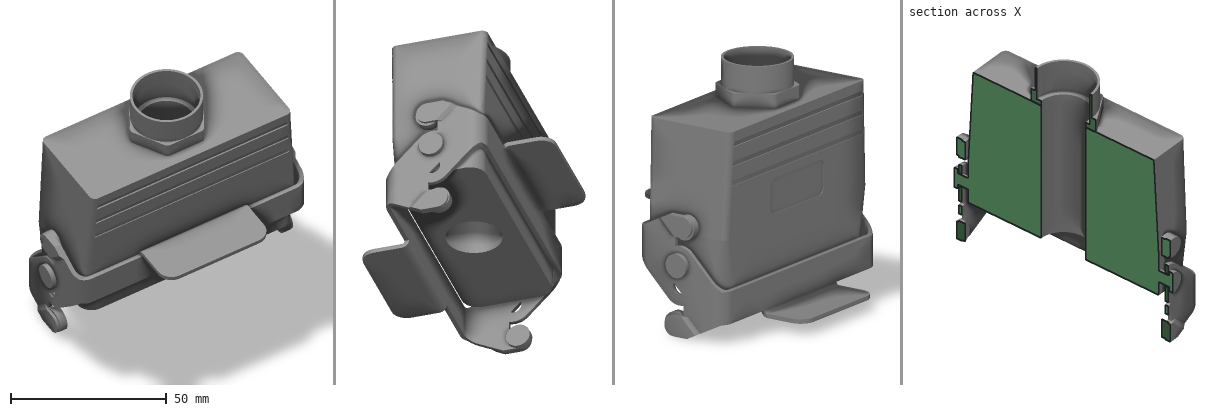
import cadquery as cq
import math

hood_height = 53.0
hood_top_half_width = 16.1
hood_bottom_half_width = 15.0
hood_top_half_length = 37.6
hood_bottom_half_length = 39.6
hood_skirt_height = 17.0
hood_corner_radius = 2.0
hood_skirt_corner_radius = 5.5
hood_width_draft = (hood_top_half_width - hood_bottom_half_width) / hood_height
hood_length_draft = (hood_bottom_half_length - hood_top_half_length) / (hood_height - hood_skirt_height)

groove_bottoms = (34.85, 41.3, 47.9)
groove_height = 1.6
groove_floor_x = 15.5

label_length = 29.85
label_height = 11.9
label_center_z = 25.8
label_corner_radius = 2.5
label_depth = 0.2

pivot_z = 7.55
pin_diameter = 4.7
pin_head_diameter = 8.0
pin_head_inner_y = 43.9
pin_head_outer_y = 45.5

gland_hex_across_flats = 23.9
gland_hex_height = 4.8
gland_hex_corner_radius = 2.0
gland_tube_diameter = 23.6
gland_height = 13.9
gland_bore_diameter = 21.8
gland_floor_thickness = 1.8
cable_hole_diameter = 18.5

sheet = 1.5
strap_outer_x = 17.0
strap_outer_y = 43.5
strap_bend_radius = 5.0
strap_inner_x = strap_outer_x - sheet
strap_inner_y = strap_outer_y - sheet
band_top = 0.5
band_bottom = -10.5
arm_end_radius = 6.1
arm_edge_x = -1.6
lever_hole_diameter = 5.0
lever_swap_z = pivot_z / 2

tip_bottom = -16.5
tip_bottom_start_x = -3.6
tip_center_x = 1.7
tip_radius = 3.55
tip_top = tip_bottom + 2 * tip_radius
pad_rise = 0.9
ramp_length = 1.55
ramp_foot_x = -3.5
boss_diameter = 8.0
boss_inner_y = 40.8

flap_end_x = 32.5
flap_half_length = 19.9
flap_corner_radius = 5.0
flap_bend_radius = 1.0


def half_width(z):
    return hood_bottom_half_width + hood_width_draft * z


def half_length(z):
    return hood_bottom_half_length - hood_length_draft * max(0, z - hood_skirt_height)


def hood_section(z, corner_radius):
    """Rounded rectangle of the hood's outer surface at height z."""
    section = cq.Sketch().rect(2 * half_width(z), 2 * half_length(z)).vertices().fillet(corner_radius)
    return section.moved(cq.Location(cq.Vector(0, 0, z)))


def hood_stage(lower_section, upper_section):
    """Straight-sided solid between two sections; unequal corner radii give conical corners."""
    return cq.Workplane("XY").placeSketch(lower_section, upper_section).loft(ruled=True)


def y_cylinder(diameter, x, z, y_start, y_end):
    """Cylinder along Y between two Y positions."""
    plane = cq.Plane(origin=(x, y_start, z), xDir=(1, 0, 0), normal=(0, 1, 0))
    return cq.Workplane(plane).circle(diameter / 2).extrude(y_end - y_start)


def both_ends(body):
    """Join a shape at the +Y end with its mirror image at the -Y end."""
    return body.union(body.mirror("XZ"))




def grip_groove(bottom_z):
    """Cutter for one groove on the +X face, running between the rounded corners."""
    length = 2 * (half_length(bottom_z) - hood_corner_radius)
    depth = hood_top_half_width - groove_floor_x
    return cq.Workplane("XY", origin=(groove_floor_x, 0, bottom_z)).box(
        depth, length, groove_height, centered=(False, True, False)
    )


def label_recess():
    """Cutter whose floor is parallel to the drafted -X face."""
    face_plane = cq.Plane(
        origin=(-half_width(label_center_z), 0, label_center_z),
        xDir=(0, -1, 0),
        normal=(-1, 0, -hood_width_draft),
    )
    outline = cq.Sketch().rect(label_length, label_height).vertices().fillet(label_corner_radius)
    return cq.Workplane(face_plane).placeSketch(outline).extrude(-label_depth)


def pivot_pin():
    shaft = y_cylinder(pin_diameter, 0, pivot_z, hood_bottom_half_length, pin_head_inner_y)
    head = y_cylinder(pin_head_diameter, 0, pivot_z, pin_head_inner_y, pin_head_outer_y)
    return shaft.union(head)


def make_hood():
    bottom = hood_section(0, hood_skirt_corner_radius)
    skirt_top = hood_section(hood_skirt_height, hood_corner_radius)
    top = hood_section(hood_height, hood_corner_radius)
    body = hood_stage(bottom, skirt_top).union(hood_stage(skirt_top, top))
    for bottom_z in groove_bottoms:
        groove = grip_groove(bottom_z)
        body = body.cut(groove).cut(groove.mirror("YZ"))
    body = body.cut(label_recess())
    cable_hole = cq.Workplane("XY").circle(cable_hole_diameter / 2).extrude(hood_height)
    return body.cut(cable_hole).union(both_ends(pivot_pin()))




def make_gland():
    """Hexagon with flats facing +X and -X, carrying a round tube."""
    base = cq.Workplane("XY", origin=(0, 0, hood_height))
    across_corners = gland_hex_across_flats / math.cos(math.radians(30))
    hexagon = base.transformed(rotate=(0, 0, 30)).polygon(6, across_corners).extrude(gland_hex_height)
    hexagon = hexagon.edges("|Z").fillet(gland_hex_corner_radius)
    tube = base.circle(gland_tube_diameter / 2).extrude(gland_height)
    bore_floor = base.workplane(offset=gland_floor_thickness)
    bore = bore_floor.circle(gland_bore_diameter / 2).extrude(gland_height)
    cable_hole = base.circle(cable_hole_diameter / 2).extrude(gland_height)
    return hexagon.union(tube).cut(bore).cut(cable_hole)




def lever_side_prism(y_start, y_end):
    """Side outline of a lever (band, arm and tip) as a slab between two Y positions."""
    arc_offset = arm_end_radius / math.sqrt(2)
    diagonal_start_x = band_top - pivot_z - math.sqrt(2) * arm_end_radius
    diagonal_end_z = pivot_z - math.sqrt(2) * arm_end_radius + arm_edge_x
    plane = cq.Plane(origin=(0, y_end, 0), xDir=(1, 0, 0), normal=(0, -1, 0))
    return (
        cq.Workplane(plane)
        .moveTo(-strap_outer_x, band_bottom)
        .lineTo(-strap_outer_x, band_top)
        .lineTo(diagonal_start_x, band_top)
        .lineTo(-arc_offset, pivot_z + arc_offset)
        .threePointArc(
            (arc_offset, pivot_z + arc_offset),
            (arc_offset, pivot_z - arc_offset),
        )
        .lineTo(arm_edge_x, diagonal_end_z)
        .lineTo(arm_edge_x, tip_top)
        .lineTo(tip_center_x, tip_top)
        .threePointArc((tip_center_x + tip_radius, tip_top - tip_radius), (tip_center_x, tip_bottom))
        .lineTo(tip_bottom_start_x, tip_bottom)
        .lineTo(-strap_inner_x, band_bottom)
        .close()
        .extrude(y_end - y_start)
    )


def rounded_block(half_x, half_y, corner_radius):
    """Upright block with rounded corners, tall enough to pass the tip."""
    height = 3 * abs(tip_bottom)
    return cq.Workplane("XY").box(2 * half_x, 2 * half_y, height).edges("|Z").fillet(corner_radius)


def strap():
    """Sheet bent round the hood in plan, trimmed to the side outline."""
    outer = rounded_block(strap_outer_x, strap_outer_y, strap_bend_radius)
    inner = rounded_block(strap_inner_x, strap_inner_y, strap_bend_radius - sheet)
    side_outline = lever_side_prism(-strap_outer_y, strap_outer_y)
    holes = y_cylinder(lever_hole_diameter, 0, pivot_z, -strap_outer_y, strap_outer_y)
    return outer.cut(inner).intersect(side_outline).cut(holes)


def tip_pad():
    """Raised outer pad of the tip, with a 45 degree ramp leading up to it."""
    raised = lever_side_prism(strap_outer_y, strap_outer_y + pad_rise)
    reach = 2 * strap_outer_x
    ramp_plane = cq.Plane(
        origin=(ramp_foot_x, strap_outer_y, tip_top), xDir=(1, 0, -1), normal=(1, 0, 1)
    )
    ramp = (
        cq.Workplane(ramp_plane)
        .polyline([(0, 0), (ramp_length, pad_rise), (reach, pad_rise), (reach, 0)])
        .close()
        .extrude(reach, both=True)
    )
    tip_plane = cq.Workplane("XY", origin=(0, strap_outer_y, tip_top))
    below_tip_top = tip_plane.rect(2 * reach, reach).extrude(-reach)
    return raised.intersect(ramp).intersect(below_tip_top)


def tip_boss():
    boss_z = tip_bottom + boss_diameter / 2
    return y_cylinder(boss_diameter, tip_center_x, boss_z, boss_inner_y, strap_outer_y)


def finger_flap():
    """Flap bent outwards from the lower edge of the band, with rounded free corners."""
    outer_bend_radius = flap_bend_radius + sheet
    bend_x = -strap_outer_x - flap_bend_radius
    flap_top = band_bottom - flap_bend_radius
    flap_bottom = band_bottom - outer_bend_radius
    diagonal = math.sqrt(0.5)
    flap = (
        cq.Workplane("XZ")
        .moveTo(-strap_outer_x, band_bottom)
        .threePointArc(
            (bend_x + flap_bend_radius * diagonal, band_bottom - flap_bend_radius * diagonal),
            (bend_x, flap_top),
        )
        .lineTo(-flap_end_x, flap_top)
        .lineTo(-flap_end_x, flap_bottom)
        .lineTo(bend_x, flap_bottom)
        .threePointArc(
            (bend_x + outer_bend_radius * diagonal, band_bottom - outer_bend_radius * diagonal),
            (-strap_inner_x, band_bottom),
        )
        .close()
        .extrude(flap_half_length, both=True)
    )
    return flap.edges("|Z and <X").fillet(flap_corner_radius)


def make_full_lever():
    tips = both_ends(tip_pad().union(tip_boss()))
    return strap().union(tips).union(finger_flap())


def make_levers():
    """Lower lever, and the same lever turned half a turn about Y and notched to clear it."""
    lower = make_full_lever()
    upper = make_full_lever().rotate((0, 0, lever_swap_z), (0, 1, lever_swap_z), 180)
    upper = upper.cut(lever_side_prism(-strap_outer_y, strap_outer_y))
    return [lower, upper]


hood = make_hood()
gland = make_gland()
levers = make_levers()

result = cq.Compound.makeCompound([hood.val(), gland.val(), *[lever.val() for lever in levers]])